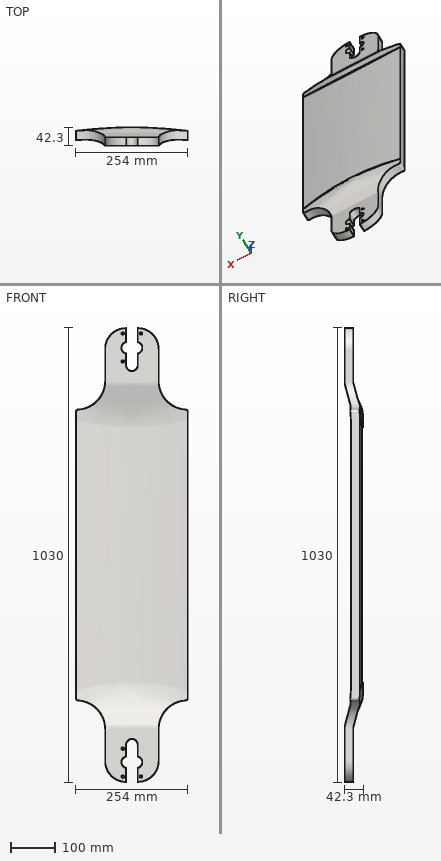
import cadquery as cq
import math

length = 1030.0
width = 254.0
overall_depth = 42.25
thickness = 20.0
half_length = length / 2
half_width = width / 2

ramp_angle = math.radians(15.0)
bend_start = 122.0
inner_bend_radius = 14.0
outer_bend_radius = inner_bend_radius + thickness
ramp_end = 160.0
deck_drop = 14.0
front_concave_depth = 8.0
back_concave_depth = 5.8
deck_end_at_edge = 208.0
deck_end_at_centre = 225.0
front_knee_distance = 194.0
front_knee_fraction = 0.80
back_knee_distance = 180.0
back_knee_fraction = 0.70
edge_step = 0.2
centre_step = overall_depth - deck_drop - thickness - back_concave_depth
section_overhang = 3.0
section_positions = (-1.0, -0.5, 0.0, 0.5, 1.0)

tip_width = 122.0
tip_corner_radius = 48.0
neck_radius = 64.0
shoulder_radius = 6.1
neck_start = 120.8

slot_width = 26.0
slot_end = 97.5
pocket_width = 47.0
pocket_height = 26.0
pocket_distance = 45.0
bolt_diameter = 5.5
bolt_spacing_x = 41.3
bolt_spacing_z = 63.5
outer_bolt_distance = 12.5


def side_section(x):
    """Closed side profile of the whole board at one place across its width."""
    rise = 1 - (x / half_width) ** 2
    sine = math.sin(ramp_angle)
    cosine = math.cos(ramp_angle)
    deck_end = deck_end_at_edge + (deck_end_at_centre - deck_end_at_edge) * rise
    front_deck = deck_drop + front_concave_depth * rise
    back_deck = deck_drop + thickness + back_concave_depth * rise
    back_crest = back_deck + edge_step + (centre_step - edge_step) * max(rise, 0)

    def bend(radius, base):
        """Start, middle and end of a bend as (distance from the end, depth)."""
        return [
            (bend_start + radius * math.sin(turn), base + radius * (1 - math.cos(turn)))
            for turn in (0, ramp_angle / 2, ramp_angle)
        ]

    front_bend = bend(outer_bend_radius, 0)
    back_bend = bend(inner_bend_radius, thickness)

    def ramp_point(bend_points):
        """Far end of the flat ramp that follows a bend."""
        distance, depth = bend_points[-1]
        return (ramp_end, depth + (ramp_end - distance) * math.tan(ramp_angle))

    def knee(start, distance, fraction, crest):
        return (distance, start[1] + fraction * (crest - start[1]))

    front_ramp = ramp_point(front_bend)
    back_ramp = ramp_point(back_bend)
    front_knee = knee(front_ramp, front_knee_distance, front_knee_fraction, front_deck)
    back_knee = knee(back_ramp, back_knee_distance, back_knee_fraction, back_crest)
    front_corner = (deck_end, front_deck)
    back_corner = (deck_end, back_deck)
    crest = (deck_end, back_crest)

    def place(point, end):
        """Position in space of a (distance, depth) point; end is 1 at the top, -1 at the bottom."""
        distance, depth = point
        return cq.Vector(x, depth, end * (half_length - distance))

    def half_edges(end):
        """Edges of one end, running from the front of the deck round the tip to the back."""
        def line(a, b):
            return cq.Edge.makeLine(place(a, end), place(b, end))

        def arc(points):
            return cq.Edge.makeThreePointArc(*[place(p, end) for p in points])

        def blend(points, tangents):
            directions = [cq.Vector(0, depth, end * -distance) for distance, depth in tangents]
            return cq.Edge.makeSpline([place(p, end) for p in points], tangents=directions)

        to_knee = (front_knee[0] - deck_end, front_knee[1] - front_deck)
        return [
            blend([front_corner, front_knee, front_ramp], [to_knee, (-cosine, -sine)]),
            line(front_ramp, front_bend[2]),
            arc(front_bend[::-1]),
            line(front_bend[0], (0, 0)),
            line((0, 0), (0, thickness)),
            line((0, thickness), back_bend[0]),
            arc(back_bend),
            line(back_bend[2], back_ramp),
            blend([back_ramp, back_knee, crest], [(cosine, sine), (1, 0)]),
            line(crest, back_corner),
        ]

    front_line = cq.Edge.makeLine(place(front_corner, -1), place(front_corner, 1))
    back_line = cq.Edge.makeLine(place(back_corner, 1), place(back_corner, -1))
    upper_end = half_edges(1)
    lower_end = half_edges(-1)[::-1]
    return cq.Wire.assembleEdges([front_line] + upper_end + [back_line] + lower_end)


def dished_blank():
    """Board of full width along its whole length, lofted across X."""
    reach = half_width + section_overhang
    sections = [side_section(position * reach) for position in section_positions]
    return cq.Workplane(obj=cq.Solid.makeLoft(sections))


def plan_outline():
    """Prism of the board's plan, with necks between the deck and the two tips."""
    tip_half = tip_width / 2
    diagonal = math.sqrt(0.5)
    tip_z = half_length - tip_corner_radius

    neck_x = tip_half + neck_radius
    neck_z = half_length - neck_start
    shoulder_x = half_width - shoulder_radius
    touch_angle = math.acos((shoulder_x - neck_x) / (neck_radius + shoulder_radius))
    shoulder_z = neck_z - (neck_radius + shoulder_radius) * math.sin(touch_angle)

    def neck_point(angle):
        return (neck_x + neck_radius * math.cos(angle), neck_z - neck_radius * math.sin(angle))

    def shoulder_point(angle):
        return (
            shoulder_x + shoulder_radius * math.cos(angle),
            shoulder_z + shoulder_radius * math.sin(angle),
        )

    quarter = (
        cq.Workplane("XZ")
        .lineTo(0, half_length)
        .lineTo(tip_half - tip_corner_radius, half_length)
        .threePointArc(
            (tip_half - tip_corner_radius * (1 - diagonal), tip_z + tip_corner_radius * diagonal),
            (tip_half, tip_z),
        )
        .lineTo(tip_half, neck_z)
        .threePointArc(neck_point((math.pi + touch_angle) / 2), neck_point(touch_angle))
        .threePointArc(shoulder_point((math.pi - touch_angle) / 2), (half_width, shoulder_z))
        .lineTo(half_width, 0)
        .close()
        .extrude(-overall_depth)
    )
    half = quarter.union(quarter.mirror("YZ"))
    return half.union(half.mirror("XY")).clean()


def truck_cutouts(end):
    """Open slot with a wider round-ended pocket, and the bolt holes, for one tip."""
    plane = cq.Workplane("XZ")

    def height(distance):
        return end * (half_length - distance)

    slot_length = 2 * slot_end
    inner_bolt_distance = outer_bolt_distance + bolt_spacing_z
    bolts = [
        (-bolt_spacing_x / 2, height(outer_bolt_distance)),
        (bolt_spacing_x / 2, height(outer_bolt_distance)),
        (-bolt_spacing_x / 2, height(inner_bolt_distance)),
    ]
    slot = plane.center(0, height(0)).slot2D(slot_length, slot_width, 90).extrude(-overall_depth)
    pocket = (
        plane.center(0, height(pocket_distance))
        .slot2D(pocket_width, pocket_height)
        .extrude(-overall_depth)
    )
    holes = plane.pushPoints(bolts).circle(bolt_diameter / 2).extrude(-overall_depth)
    return slot.union(pocket).union(holes)


result = dished_blank().intersect(plan_outline())
for end in (-1, 1):
    result = result.cut(truck_cutouts(end))